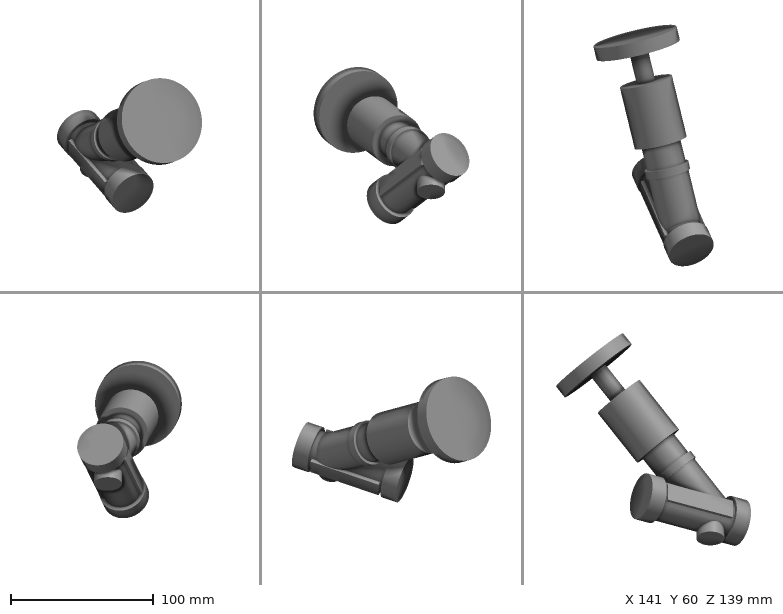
import cadquery as cq
import math

body_length = 78.5
body_diameter = 27.9
flange_diameter = 33.3
flange_width = 11.3

pad_length = 51.6
pad_height = 13.1
pads_across = 29.8

drain_x = 23.4
drain_diameter = 19.6
drain_drop = 19.0

overall_length = 141.0
branch_angle = 45.0
branch_diameter = 28.9
collar_diameter = 31.6
neck_diameter = 27.9
bonnet_diameter = 37.5
stem_diameter = 13.3
wheel_diameter = 60.0
collar_start = 39.8
collar_end = 45.5
bonnet_start = 62.5
bonnet_end = 106.9
wheel_start = 130.0
wheel_end = 139.7

angle = math.radians(branch_angle)
wheel_reach = wheel_end * math.cos(angle) + wheel_diameter / 2 * math.sin(angle)
branch_x = overall_length - wheel_reach

branch_plane = cq.Plane(
    origin=(branch_x, 0, 0),
    xDir=(0, 1, 0),
    normal=(math.cos(angle), 0, math.sin(angle)),
)


def pipe_section(start, length, diameter):
    """Solid cylinder along X."""
    return cq.Workplane("YZ", origin=(start, 0, 0)).circle(diameter / 2).extrude(length)


def branch_section(start, end, diameter):
    """Solid cylinder along the inclined branch axis."""
    return cq.Workplane(branch_plane).workplane(offset=start).circle(diameter / 2).extrude(end - start)


def make_body():
    body = pipe_section(0, body_length, body_diameter)
    for flange_start in (0, body_length - flange_width):
        body = body.union(pipe_section(flange_start, flange_width, flange_diameter))
    pads = cq.Workplane("XY").box(pad_length, pads_across, pad_height)
    body = body.union(pads.translate((body_length / 2, 0, 0)))
    drain = cq.Workplane("XY", origin=(drain_x, 0, 0)).circle(drain_diameter / 2).extrude(-drain_drop)
    return body.union(drain)


def make_branch():
    branch = branch_section(0, collar_start, branch_diameter)
    upper_sections = (
        (collar_start, collar_end, collar_diameter),
        (collar_end, bonnet_start, neck_diameter),
        (bonnet_start, bonnet_end, bonnet_diameter),
        (bonnet_end, wheel_start, stem_diameter),
        (wheel_start, wheel_end, wheel_diameter),
    )
    for start, end, diameter in upper_sections:
        branch = branch.union(branch_section(start, end, diameter))
    return branch


result = make_body().union(make_branch())